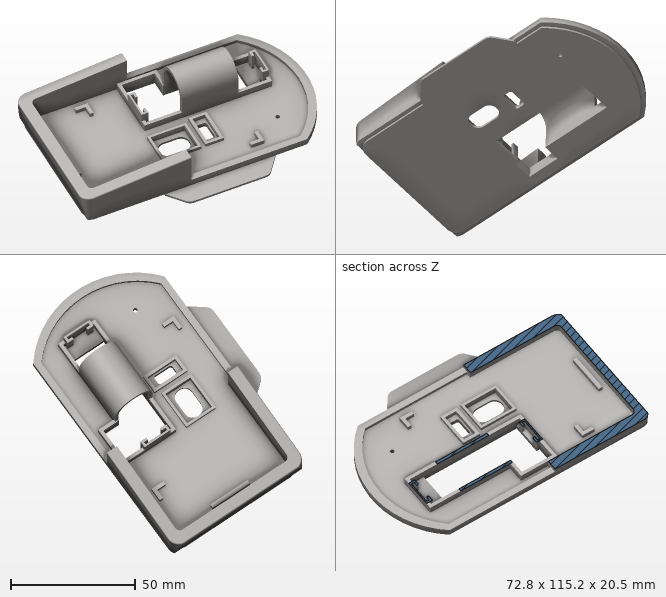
import cadquery as cq

BODY_WIDTH = 64.4
BODY_BACK_Y = 115.17
HALF_WIDTH = BODY_WIDTH / 2
FRONT_Y = -0.09
SHOULDER_Y = 99.8
BODY_CORNER_R = 5.0

SOLE_TOP = 1.0
SHELF_Z = 2.0
FLOOR_Z = 2.5
RIM_TOP = 4.0
FRAME_TOP = 5.7
CLIP_TOP = 9.45
ARCH_TOP = 20.47

SOLE_INSET = 1.75
SOLE_FRONT_Y = 2.0
SOLE_BACK_Y = 112.8
SOLE_SHOULDER_Y = 98.6
OVERALL_WIDTH = 72.84
TAB_TIP_X = OVERALL_WIDTH - HALF_WIDTH
TAB_ROOT_X = HALF_WIDTH
TAB_Y = (36.4, 85.6)
TAB_TIP_Y = (43.4, 79.1)
TAB_CORNER_R = 4.0

RECESS_HALF_WIDTH = 29.4
RECESS_SHOULDER_Y = 98.1
RECESS_BACK_Y = 111.5

WALL_END_Y = 48.1
WALL_THICKNESS = 4.95
WALL_INNER_R = 4.2 / 2
WALL_HIGH_Z = 17.1
WALL_LOW_Z = 13.1
WALL_EDGE_FILLET = 0.55
FRONT_LEAN = 2.0

FRAME_WALL = 1.5
FRAME_LEFT_X = -19.6
FRAME_RIGHT_X = -1.5
FRAME_Y = (43.45, 100.4)
BOX_LEFT_X = -HALF_WIDTH + WALL_THICKNESS
BOX_BACK_Y = 61.2
SHELF_FRONT_Y = 92.0

ARCH_Y = (60.1, 85.5)
ARCH_R = (FRAME_RIGHT_X - FRAME_LEFT_X) / 2
ARCH_X = (FRAME_RIGHT_X + FRAME_LEFT_X) / 2

CLIP_X = (-16.9, -4.2)
CLIP_DEPTH = 3.0
CLIP_SIDE = 1.05
CLIP_BACK = 0.8
CLIP_LIP = 1.1
CLIP_LIP_LENGTH = 2.9

WINDOW_TOP = RIM_TOP
SMALL_WINDOW = (0.8, 16.95, 61.8, 69.9)
SMALL_WALL = 1.3
SMALL_LEDGE_Z = SHELF_Z
SMALL_OPENING = (8.85, 4.3)
SMALL_OPENING_R = 1.1
LARGE_WINDOW = (2.85, 17.25, 42.4, 59.8)
LARGE_WALL = 1.1
LARGE_LEDGE_Z = SOLE_TOP
LARGE_OPENING = (7.75, 13.5)
LARGE_OPENING_R = 3.6

RIB_TOP = 4.4
BRACKET_ARM = 5.8
BRACKET_WIDTH = 1.6
BACK_BRACKET_CORNER = (25.6, 83.8)
FRONT_BRACKET_CORNER = (-23.8, 28.7)
BAR_X = (-8.2, 10.0)
BAR_Y = (8.0, 9.8)
PIN_HOLE_D = 1.85
PIN_HOLE_AT = (14.65, 95.1)


def block(x0, x1, y0, y1, z0, z1):
    return cq.Workplane("XY").box(x1 - x0, y1 - y0, z1 - z0, centered=False).translate((x0, y0, z0))


def round_ended(half_width, front_y, shoulder_y, back_y, z0, z1):
    """Plate with straight sides and an arc across its back end."""
    return (
        cq.Workplane("XY", origin=(0, 0, z0))
        .moveTo(-half_width, front_y)
        .lineTo(half_width, front_y)
        .lineTo(half_width, shoulder_y)
        .threePointArc((0, back_y), (-half_width, shoulder_y))
        .close()
        .extrude(z1 - z0)
    )


def side_profile(points):
    """Prism across the shell's width from (y, z) points."""
    return cq.Workplane("YZ").polyline(points).close().extrude(BODY_WIDTH, both=True)


def make_sole():
    sole = round_ended(
        HALF_WIDTH - SOLE_INSET, SOLE_FRONT_Y, SOLE_SHOULDER_Y, SOLE_BACK_Y, 0, SOLE_TOP
    )
    sole = sole.edges("|Z and <Y").fillet(BODY_CORNER_R)
    tab = (
        cq.Workplane("XY")
        .moveTo(0, TAB_Y[0])
        .lineTo(TAB_ROOT_X, TAB_Y[0])
        .lineTo(TAB_TIP_X, TAB_TIP_Y[0])
        .lineTo(TAB_TIP_X, TAB_TIP_Y[1])
        .lineTo(TAB_ROOT_X, TAB_Y[1])
        .lineTo(0, TAB_Y[1])
        .close()
        .extrude(SOLE_TOP)
        .edges("|Z and >X")
        .fillet(TAB_CORNER_R)
    )
    return sole.union(tab)


def make_shell():
    outline = round_ended(HALF_WIDTH, FRONT_Y, SHOULDER_Y, BODY_BACK_Y, SOLE_TOP, WALL_HIGH_Z)
    outline = outline.edges("|Z and <Y").fillet(BODY_CORNER_R)
    front_part = outline.intersect(
        side_profile(
            [
                (FRONT_LEAN, SOLE_TOP),
                (WALL_END_Y, SOLE_TOP),
                (WALL_END_Y, WALL_HIGH_Z),
                (FRONT_Y, WALL_LOW_Z),
            ]
        )
    )
    front_part = front_part.faces(">Z").edges("not(>Y)").fillet(WALL_EDGE_FILLET)
    back_part = outline.intersect(
        block(-HALF_WIDTH, HALF_WIDTH, WALL_END_Y, BODY_BACK_Y, SOLE_TOP, RIM_TOP)
    )
    cavity_half = HALF_WIDTH - WALL_THICKNESS
    cavity = block(-cavity_half, cavity_half, WALL_THICKNESS, WALL_END_Y, FLOOR_Z, WALL_HIGH_Z)
    cavity = cavity.edges("|Z and <Y").fillet(WALL_INNER_R)
    recess = round_ended(
        RECESS_HALF_WIDTH, WALL_END_Y, RECESS_SHOULDER_Y, RECESS_BACK_Y, FLOOR_Z, RIM_TOP
    )
    return front_part.union(back_part).cut(cavity).cut(recess)


def frame_footprint(inset, z0, z1):
    """Long opening and its left box, drawn in by an inset."""
    long_part = block(
        FRAME_LEFT_X + inset, FRAME_RIGHT_X - inset, FRAME_Y[0] + inset, FRAME_Y[1] - inset, z0, z1
    )
    box_part = block(
        BOX_LEFT_X + inset, FRAME_RIGHT_X - inset, FRAME_Y[0] + inset, BOX_BACK_Y - inset, z0, z1
    )
    return long_part.union(box_part)


def arch_prism(radius):
    """Round-topped prism over the long opening, from the sole up."""
    spring_z = ARCH_TOP - ARCH_R
    return (
        cq.Workplane("XZ", origin=(ARCH_X, ARCH_Y[1], 0))
        .moveTo(-radius, SOLE_TOP)
        .lineTo(-radius, spring_z)
        .threePointArc((0, spring_z + radius), (radius, spring_z))
        .lineTo(radius, SOLE_TOP)
        .close()
        .extrude(ARCH_Y[1] - ARCH_Y[0])
    )


def make_clip(back_y, inward):
    """C-shaped clip standing on a shelf; inward is the Y sign it opens towards."""

    def part(x0, x1, near, far, z0, z1):
        y_ends = sorted((back_y + inward * near, back_y + inward * far))
        return block(x0, x1, y_ends[0], y_ends[1], z0, z1)

    x0, x1 = CLIP_X
    clip = part(x0, x1, 0, CLIP_DEPTH, SHELF_Z, CLIP_TOP)
    slot = part(
        x0 + CLIP_SIDE, x1 - CLIP_SIDE, CLIP_BACK, CLIP_DEPTH - CLIP_LIP, SHELF_Z, CLIP_TOP
    )
    mouth = part(
        x0 + CLIP_LIP_LENGTH, x1 - CLIP_LIP_LENGTH, CLIP_BACK, CLIP_DEPTH, SHELF_Z, CLIP_TOP
    )
    return clip.cut(slot).cut(mouth)


def add_battery_bay(body):
    body = body.union(frame_footprint(0, SOLE_TOP, FRAME_TOP))
    body = body.union(arch_prism(ARCH_R))
    body = body.cut(arch_prism(ARCH_R - FRAME_WALL))
    body = body.cut(frame_footprint(FRAME_WALL, 0, FRAME_TOP))
    back_shelf = block(FRAME_LEFT_X, FRAME_RIGHT_X, SHELF_FRONT_Y, FRAME_Y[1], 0, SHELF_Z)
    front_shelf = block(CLIP_X[0], FRAME_RIGHT_X, FRAME_Y[0], FRAME_Y[0] + CLIP_DEPTH, 0, SHELF_Z)
    body = body.union(back_shelf).union(front_shelf)
    for back_y, inward in ((FRAME_Y[0], 1), (FRAME_Y[1], -1)):
        clip = make_clip(back_y, inward)
        reach = sorted((back_y, back_y + inward * CLIP_DEPTH))
        body = body.cut(block(*CLIP_X, *reach, SHELF_Z, CLIP_TOP)).union(clip)
    return body


def add_window(body, frame, wall, ledge_z, opening, corner_r):
    x0, x1, y0, y1 = frame
    body = body.union(block(x0, x1, y0, y1, SOLE_TOP, WINDOW_TOP))
    body = body.cut(block(x0 + wall, x1 - wall, y0 + wall, y1 - wall, ledge_z, WINDOW_TOP))
    hole = (
        cq.Workplane("XY")
        .center((x0 + x1) / 2, (y0 + y1) / 2)
        .rect(*opening)
        .extrude(ledge_z)
        .edges("|Z")
        .fillet(corner_r)
    )
    return body.cut(hole)


def make_bracket(corner, x_sign):
    """L-shaped rib with its corner at the back; x_sign is the way its cross arm points."""
    x, y = corner

    def arm(length_x, length_y):
        x_ends = sorted((x, x + x_sign * length_x))
        return block(*x_ends, y - length_y, y, SOLE_TOP, RIB_TOP)

    return arm(BRACKET_ARM, BRACKET_WIDTH).union(arm(BRACKET_WIDTH, BRACKET_ARM))


body = make_sole().union(make_shell())
body = add_battery_bay(body)
body = add_window(body, SMALL_WINDOW, SMALL_WALL, SMALL_LEDGE_Z, SMALL_OPENING, SMALL_OPENING_R)
body = add_window(body, LARGE_WINDOW, LARGE_WALL, LARGE_LEDGE_Z, LARGE_OPENING, LARGE_OPENING_R)
body = body.union(make_bracket(BACK_BRACKET_CORNER, -1))
body = body.union(make_bracket(FRONT_BRACKET_CORNER, 1))
body = body.union(block(*BAR_X, *BAR_Y, SOLE_TOP, RIB_TOP))
pin_hole = cq.Workplane("XY").center(*PIN_HOLE_AT).circle(PIN_HOLE_D / 2).extrude(RIM_TOP)
result = body.cut(pin_hole)